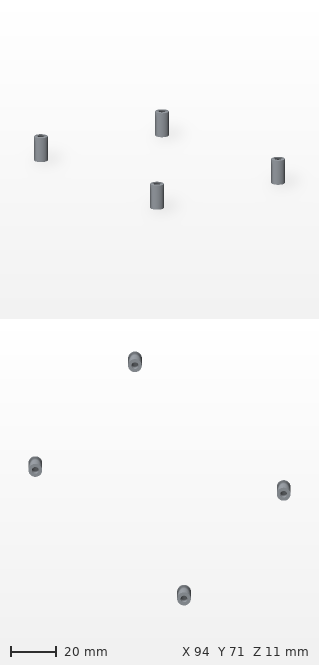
import cadquery as cq

spacer_diameter = 6.0
bore_diameter = 3.0
spacer_height = 11.0

overall_length = 94.0
overall_width = 71.0

pitch_x = overall_length - spacer_diameter
pitch_y = overall_width - spacer_diameter


def make_spacer(x, y):
    """Round tube standing on Z = 0 with its axis at (x, y)."""
    return (
        cq.Workplane("XY")
        .center(x, y)
        .circle(spacer_diameter / 2)
        .circle(bore_diameter / 2)
        .extrude(spacer_height)
    )


spacers = []
for x in (-pitch_x / 2, pitch_x / 2):
    for y in (-pitch_y / 2, pitch_y / 2):
        spacers.append(make_spacer(x, y))

result = cq.Compound.makeCompound([spacer.val() for spacer in spacers])